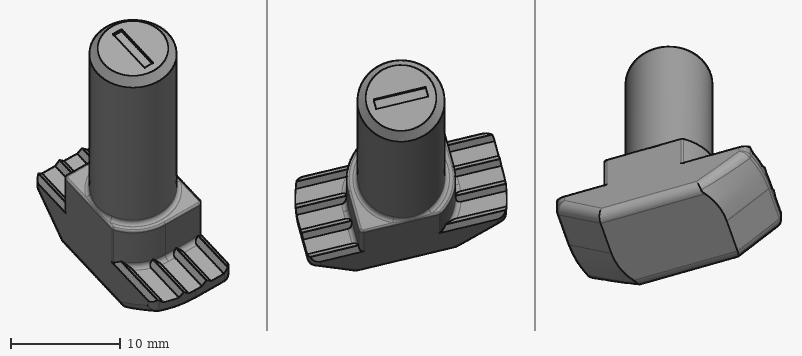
import cadquery as cq

total_height = 30.8

head_length = 19.4
head_width = 8.5
head_height = 5.82
bottom_half_length = 5.55
side_edge_radius = 1.0
shoulder_radius = 0.5

serration_pitch = 2.5
serration_depth = 0.5
groove_floor_width = 1.48
grooves_per_side = 2

neck_radius = 5.0
neck_top = 10.35
neck_edge_radius = 0.37
neck_top_radius = 0.22
neck_base_radius = serration_depth

shank_diameter = 8.0
shank_chamfer = 0.77
shank_base_radius = 0.43

slot_length = 4.93
slot_width = 1.0
slot_depth = 0.3

edge_tolerance = 0.03

half_length = head_length / 2
half_width = head_width / 2
shank_radius = shank_diameter / 2
groove_floor = head_height - serration_depth
slope_top = half_length - bottom_half_length


def with_half_turn(solid):
    """Join a solid with its copy turned 180 degrees about Z."""
    return solid.union(solid.rotate((0, 0, 0), (0, 0, 1), 180))


def level_zone(z, half_size):
    """Selector for edges lying at height z within a square about the axis."""
    reach = half_size + edge_tolerance
    return cq.selectors.BoxSelector(
        (-reach, -reach, z - edge_tolerance),
        (reach, reach, z + edge_tolerance),
        boundingbox=True,
    )


def slab(width):
    """Oversized block limited only in Y, centred on the axis."""
    return cq.Workplane("XY").box(2 * head_length, width, 2 * total_height)


def half_head_profile():
    """Side profile of the head on the -X side of the axis."""
    return (
        cq.Workplane("XZ")
        .lineTo(-bottom_half_length, 0)
        .lineTo(-half_length, slope_top)
        .lineTo(-half_length, head_height)
        .lineTo(0, head_height)
        .close()
    )


def make_serration_grooves():
    """Trapezoidal grooves with 45 degree flanks; the outermost pair runs off the sides of the head."""
    floor_half = groove_floor_width / 2
    mouth_half = floor_half + serration_depth
    groove = (
        cq.Workplane("YZ", origin=(-head_length, 0, groove_floor))
        .moveTo(-floor_half, 0)
        .lineTo(floor_half, 0)
        .lineTo(mouth_half, serration_depth)
        .lineTo(-mouth_half, serration_depth)
        .close()
        .extrude(2 * head_length)
    )
    grooves = cq.Workplane("XY")
    for step in range(-grooves_per_side, grooves_per_side + 1):
        grooves = grooves.add(groove.translate((0, step * serration_pitch, 0)))
    return grooves.combine()


def make_head():
    """Hammer head: each end has one straight corner and one rounded about the axis so it can turn."""
    straight_corner = half_head_profile().extrude(half_width)
    rounded_corner = half_head_profile().revolve(90, (0, 0, 0), (0, -1, 0)).intersect(slab(head_width))
    head = with_half_turn(straight_corner.union(rounded_corner))

    side_edges = head.faces("<Y or >Y").edges().vals()
    lower_edges = [edge for edge in side_edges if edge.BoundingBox().zmin < groove_floor]
    head = head.newObject(lower_edges).fillet(side_edge_radius)

    head = head.edges(level_zone(slope_top, half_length)).fillet(shoulder_radius)
    return head.cut(make_serration_grooves())


def make_neck_column(bottom, top):
    """Round column squared off to the tangent in the (-X, -Y) and (+X, +Y) quadrants."""
    height = top - bottom
    base = cq.Workplane("XY", origin=(0, 0, bottom))
    square_corner = base.rect(-neck_radius, -neck_radius, centered=False).extrude(height)
    return base.circle(neck_radius).extrude(height).union(with_half_turn(square_corner))


def make_neck():
    """Neck trimmed flush with the flat sides of the head, with its upright and top edges rounded."""
    neck = make_neck_column(slope_top, neck_top).intersect(slab(head_width))
    neck = neck.edges("|Z").edges("<Y or >Y").fillet(neck_edge_radius)
    return neck.faces(">Z").edges().fillet(neck_top_radius)


def make_neck_root():
    """Concave fillet between the neck and the groove floors, ending at the outer serration crests."""
    plate_size = 2 * (neck_radius + 2 * neck_base_radius)
    plate_base = cq.Workplane("XY", origin=(0, 0, slope_top))
    plate = plate_base.rect(plate_size, plate_size).extrude(groove_floor - slope_top)
    root = plate.union(make_neck_column(groove_floor, groove_floor + 2 * neck_base_radius))
    root = root.faces(">Z[-2]").edges("not(<X or >X or <Y or >Y)").fillet(neck_base_radius)
    outer_crest_spacing = (2 * grooves_per_side - 1) * serration_pitch
    return root.intersect(slab(outer_crest_spacing))


def make_neck_with_shank():
    """Chamfered, slotted shank rising from the neck with a concave fillet at its foot."""
    shank = cq.Workplane("XY", origin=(0, 0, neck_top)).circle(shank_radius).extrude(total_height - neck_top)
    shank = shank.faces(">Z").edges().chamfer(shank_chamfer)
    slot = cq.Workplane("XY", origin=(0, 0, total_height)).rect(slot_length, slot_width).extrude(-slot_depth)
    body = make_neck().union(shank.cut(slot))
    return body.edges(level_zone(neck_top, shank_radius)).edges("%CIRCLE").fillet(shank_base_radius)


result = make_head().union(make_neck_root()).union(make_neck_with_shank())